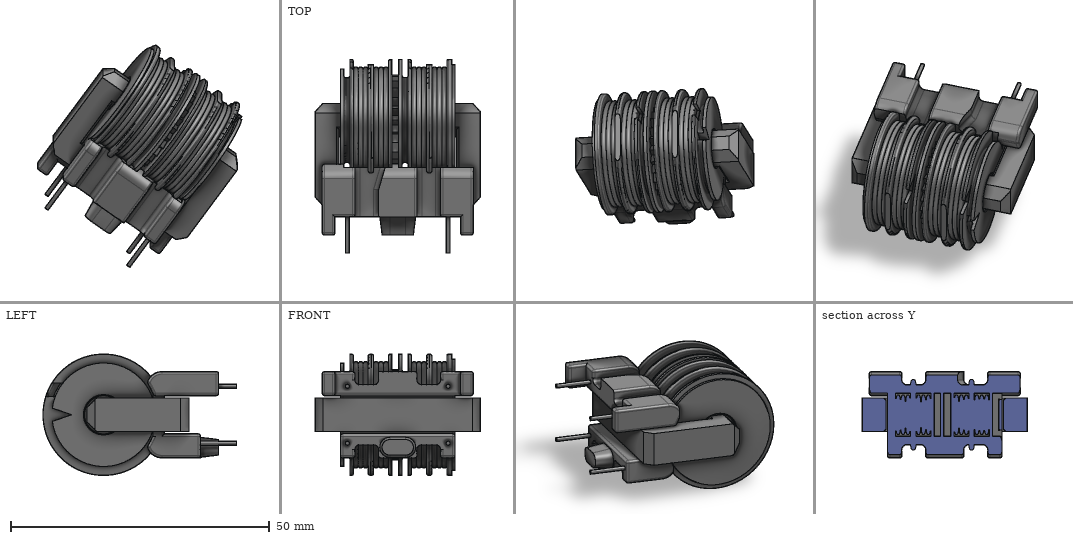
import cadquery as cq
import math

EPS = 0.05

TOTAL_LENGTH = 37.5
TOTAL_HEIGHT = 23.5

CORE_WIDTH = 32.0
CORE_HALF_HEIGHT = 3.25
CORE_FRONT_Y = -16.55
CORE_CORNER_X = 1.5
CORE_CORNER_Y = 1.6
LIMB_BEVEL = 1.9
WINDOW_HALF_WIDTH = 11.35
WINDOW_FLARE = 0.45

BOBBIN_HALF_LENGTH = 11.1
SECTION_PITCH = 11.3
FLANGE_RADIUS = TOTAL_HEIGHT / 2
LEFT_DISC_RADIUS = 10.0
RIGHT_DISC_RADIUS = 10.75
HUB_RADIUS = 8.25
BORE_RADIUS = 3.7
BORE_CHAMFER = 0.2
BORE_DEPTH = 0.68
END_DISC_THICKNESS = 0.68
RIM_FILLET = 0.38
MIDDLE_RIM_FILLET = 0.45
HUB_FILLET = 0.38

ENTRY_FLANGE_START = 1.85
ENTRY_FLANGE_END = 2.5
MIDDLE_FLANGE_START = 5.35
MIDDLE_FLANGE_END = 6.45
LAST_FLANGE_START = 9.3
LAST_FLANGE_END = 9.98
RIGHT_DISC_START = 10.28
MIDDLE_FLANGE_FLAT_Y = 10.75
WINDING_RADIUS = 10.3
TURNS_PER_CHAMBER = 3

V_NOTCH_HALF_HEIGHT = 1.3
V_NOTCH_TIP_Y = 6.22
WIRE_SLOT_BOTTOM = 3.5
WIRE_SLOT_TOP = 6.1

TOOTH_COUNT = 24
TOOTH_TIP_RADIUS = 8.75
TOOTH_ROOT_RADIUS = 7.12

BLOCK_INNER_Z = 3.68
BLOCK_OUTER_Z = 8.35
BLOCK_BACK_Y = -8.48
BLOCK_SHOULDER_Z = 6.22
BLOCK_HEEL_Y = -9.8
BLOCK_ARC_END_Y = -11.32
BLOCK_FRONT_Y = -18.75
BLOCK_TRIM_Y = -9.15
LEG_OUTER_X = 14.62
LEG_INNER_X = 12.15
LEG_FRONT_Y = -22.28
BLOCK_FILLET = 0.5
SLOT_OUTER_X = 8.3
SLOT_INNER_X = 3.7
SLOT_FLOOR_Z = 5.8
SLOT_FLOOR_FILLET = 0.95
SLOT_KINK_Y = -13.5
SLOT_BACK_Y = -7.5
SLOT_SKEW = 1.75

WEB_BACK_Y = -9.55
WEB_FRONT_Y = -11.78

PIN_DIAMETER = 0.8
PIN_X = 9.75
PIN_Z = 5.5
PIN_TIP_Y = FLANGE_RADIUS - TOTAL_LENGTH
STUB_WIDTH = 6.98
STUB_HEIGHT = 3.9
STUB_Z = -6.3
STUB_TAPER = 7.2


def box(x, y, z):
    """Axis-aligned box from (low, high) pairs."""
    size = (x[1] - x[0], y[1] - y[0], z[1] - z[0])
    return cq.Workplane("XY").box(*size, centered=False).translate((x[0], y[0], z[0]))


def disc(start, end, radius):
    """Disc about the X axis."""
    return cq.Workplane("YZ").workplane(offset=start).circle(radius).extrude(end - start)


def make_core():
    """Closed rectangular core with a flared window; its rear limb passes through the bobbin."""
    outline = box(
        (-CORE_WIDTH / 2, CORE_WIDTH / 2),
        (CORE_FRONT_Y, CORE_HALF_HEIGHT),
        (-CORE_HALF_HEIGHT, CORE_HALF_HEIGHT),
    )
    half = CORE_WIDTH / 2
    for sign in (-1, 1):
        for y, step in ((CORE_FRONT_Y, CORE_CORNER_Y), (CORE_HALF_HEIGHT, -CORE_CORNER_Y)):
            corner = (
                cq.Workplane("XY", origin=(0, 0, -CORE_HALF_HEIGHT))
                .moveTo(sign * half, y)
                .lineTo(sign * (half - CORE_CORNER_X), y)
                .lineTo(sign * half, y + step)
                .close()
                .extrude(2 * CORE_HALF_HEIGHT)
            )
            outline = outline.cut(corner)
    outline = outline.edges(">Y and |X").chamfer(LIMB_BEVEL)

    flat = CORE_HALF_HEIGHT - LIMB_BEVEL
    window_section = [
        (WEB_FRONT_Y, -CORE_HALF_HEIGHT),
        (-flat, -CORE_HALF_HEIGHT),
        (-CORE_HALF_HEIGHT, -flat),
        (-CORE_HALF_HEIGHT, flat),
        (-flat, CORE_HALF_HEIGHT),
        (WEB_FRONT_Y, CORE_HALF_HEIGHT),
    ]
    flared = WINDOW_HALF_WIDTH + WINDOW_FLARE
    window = (
        cq.Workplane("YZ").workplane(offset=-flared).polyline(window_section).close().extrude(2 * flared)
    )
    edge = CORE_HALF_HEIGHT - WINDOW_FLARE
    flare_section = [
        (flared, CORE_HALF_HEIGHT),
        (WINDOW_HALF_WIDTH, edge),
        (WINDOW_HALF_WIDTH, -edge),
        (flared, -CORE_HALF_HEIGHT),
        (-flared, -CORE_HALF_HEIGHT),
        (-WINDOW_HALF_WIDTH, -edge),
        (-WINDOW_HALF_WIDTH, edge),
        (-flared, CORE_HALF_HEIGHT),
    ]
    flare = cq.Workplane("XZ").polyline(flare_section).close().extrude(-CORE_FRONT_Y)
    return outline.cut(window.intersect(flare))


def make_winding(start, end):
    """Row of touching round turns filling one chamber."""
    wire_radius = (end - start) / TURNS_PER_CHAMBER / 2
    valley = WINDING_RADIUS - wire_radius
    profile = cq.Workplane("XY").moveTo(start, BORE_RADIUS).lineTo(start, valley)
    for turn in range(TURNS_PER_CHAMBER):
        crest = start + (2 * turn + 1) * wire_radius
        profile = profile.threePointArc((crest, WINDING_RADIUS), (crest + wire_radius, valley))
    return profile.lineTo(end, BORE_RADIUS).close().revolve(360, (0, 0, 0), (1, 0, 0))


def make_hub(start, end):
    """Grooved hub between two flanges, rounded at both sides."""
    corner = HUB_RADIUS + HUB_FILLET
    return (
        cq.Workplane("XY")
        .moveTo(start, 0)
        .lineTo(start, corner)
        .radiusArc((start + HUB_FILLET, HUB_RADIUS), -HUB_FILLET)
        .lineTo(end - HUB_FILLET, HUB_RADIUS)
        .radiusArc((end, corner), -HUB_FILLET)
        .lineTo(end, 0)
        .close()
        .revolve(360, (0, 0, 0), (1, 0, 0))
    )


def make_section(start):
    """One winding section: hub, three flanges and two chambers of turns."""
    entry_start = start + ENTRY_FLANGE_START
    entry_end = start + ENTRY_FLANGE_END
    middle_start = start + MIDDLE_FLANGE_START
    middle_end = start + MIDDLE_FLANGE_END
    last_start = start + LAST_FLANGE_START
    last_end = start + LAST_FLANGE_END

    entry = disc(entry_start, entry_end, FLANGE_RADIUS).faces(">X").edges().fillet(RIM_FILLET)
    wire_slot = box(
        (entry_start - EPS, entry_end + EPS),
        (0, FLANGE_RADIUS),
        (WIRE_SLOT_BOTTOM, WIRE_SLOT_TOP),
    )
    entry = entry.cut(wire_slot).union(disc(entry_start, entry_end, HUB_RADIUS))
    middle = disc(middle_start, middle_end, FLANGE_RADIUS).edges().fillet(MIDDLE_RIM_FILLET)
    middle = middle.cut(
        box(
            (middle_start - EPS, middle_end + EPS),
            (MIDDLE_FLANGE_FLAT_Y, FLANGE_RADIUS + EPS),
            (-FLANGE_RADIUS, FLANGE_RADIUS),
        )
    )
    last = disc(last_start, last_end, FLANGE_RADIUS).faces("<X").edges().fillet(RIM_FILLET)
    section = disc(start, last_end, BORE_RADIUS + BORE_CHAMFER)
    section = section.union(make_hub(start + END_DISC_THICKNESS, entry_start))
    section = section.union(entry).union(middle).union(last)
    section = section.union(make_winding(entry_end, middle_start))
    return section.union(make_winding(middle_end, last_start))


def make_toothed_ring(start, end):
    """Ring of pointed teeth about the X axis."""
    points = []
    for index in range(2 * TOOTH_COUNT):
        radius = TOOTH_ROOT_RADIUS if index % 2 else TOOTH_TIP_RADIUS
        angle = math.pi * index / TOOTH_COUNT
        points.append((radius * math.cos(angle), radius * math.sin(angle)))
    return cq.Workplane("YZ").workplane(offset=start).polyline(points).close().extrude(end - start)


def make_bobbin():
    first = -BOBBIN_HALF_LENGTH
    second = first + SECTION_PITCH
    left_disc = disc(first, first + END_DISC_THICKNESS, LEFT_DISC_RADIUS)
    v_notch = (
        cq.Workplane("YZ")
        .workplane(offset=first)
        .moveTo(V_NOTCH_TIP_Y, 0)
        .lineTo(LEFT_DISC_RADIUS, V_NOTCH_HALF_HEIGHT)
        .lineTo(LEFT_DISC_RADIUS, -V_NOTCH_HALF_HEIGHT)
        .close()
        .extrude(ENTRY_FLANGE_START)
    )

    bobbin = make_section(first).union(left_disc).cut(v_notch)
    bobbin = bobbin.union(make_section(second))
    bobbin = bobbin.union(disc(second, second + END_DISC_THICKNESS, FLANGE_RADIUS))
    bobbin = bobbin.union(make_toothed_ring(first + LAST_FLANGE_END, second))
    right_end = second + RIGHT_DISC_START
    bobbin = bobbin.union(disc(second + LAST_FLANGE_END, right_end, FLANGE_RADIUS))
    return bobbin.union(disc(right_end, BOBBIN_HALF_LENGTH, RIGHT_DISC_RADIUS))


def make_slot(side, skew):
    """Wire channel across a block; skew moves the back of its inner wall towards the middle."""
    front = BLOCK_FRONT_Y - EPS
    plan = [
        (side * SLOT_OUTER_X, front),
        (side * SLOT_INNER_X, front),
        (side * SLOT_INNER_X, SLOT_KINK_Y),
        (side * (SLOT_INNER_X - skew), SLOT_BACK_Y),
        (side * SLOT_OUTER_X, SLOT_BACK_Y),
    ]
    slot = cq.Workplane("XY", origin=(0, 0, SLOT_FLOOR_Z)).polyline(plan).close()
    slot = slot.extrude(BLOCK_OUTER_Z - SLOT_FLOOR_Z + EPS)
    return slot.faces("<Z").edges("not(|X)").fillet(SLOT_FLOOR_FILLET)


def block_body(left, right, front_y):
    """Side profile of a terminal block run along X, above the core."""
    return (
        cq.Workplane("YZ")
        .workplane(offset=left)
        .moveTo(front_y, BLOCK_INNER_Z)
        .lineTo(front_y, BLOCK_OUTER_Z)
        .lineTo(BLOCK_ARC_END_Y, BLOCK_OUTER_Z)
        .tangentArcPoint((BLOCK_BACK_Y, BLOCK_SHOULDER_Z), relative=False)
        .lineTo(BLOCK_HEEL_Y, BLOCK_INNER_Z)
        .close()
        .extrude(right - left)
    )


def make_block_middle(left_skew):
    """Part of a block between its cheeks, with both wire channels."""
    reach = SLOT_OUTER_X + BLOCK_FILLET
    middle = block_body(-reach, reach, BLOCK_FRONT_Y)
    middle = middle.edges("<Y and <Z").fillet(BLOCK_FILLET)
    middle = middle.cut(make_slot(-1, left_skew)).cut(make_slot(1, 0))
    for side in (-1, 1):
        outside = sorted((side * SLOT_OUTER_X, side * reach))
        above_floor = (SLOT_FLOOR_Z + SLOT_FLOOR_FILLET, BLOCK_OUTER_Z)
        middle = middle.cut(box(outside, (BLOCK_FRONT_Y, 0), above_floor))

    def is_rounded(edge):
        """Top edges of the straight inner walls, including their curved backs."""
        centre = edge.Center()
        extent = edge.BoundingBox()
        on_wall = abs(abs(centre.x) - SLOT_INNER_X) < EPS and extent.xlen < EPS
        on_top = centre.z > SLOT_FLOOR_Z + SLOT_FLOOR_FILLET and extent.ylen > SLOT_FLOOR_FILLET
        return on_wall and on_top and (left_skew == 0 or centre.x > 0)

    return middle.edges().filter(is_rounded).fillet(BLOCK_FILLET)


def make_right_cheek(outer_x, front_y):
    """Rounded end of a block; a front beyond the block front adds a leg at the outside."""
    cheek = block_body(SLOT_OUTER_X, outer_x, front_y)
    if front_y < BLOCK_FRONT_Y:
        inside_leg = box(
            (SLOT_OUTER_X, LEG_INNER_X), (front_y, BLOCK_FRONT_Y), (BLOCK_INNER_Z, BLOCK_OUTER_Z)
        )
        cheek = cheek.cut(inside_leg)
    middle_z = (BLOCK_INNER_Z + BLOCK_OUTER_Z) / 2
    inner_corner = cq.Vector(LEG_INNER_X, BLOCK_FRONT_Y, middle_z)
    outer_edges = cheek.edges().filter(lambda edge: (edge.Center() - inner_corner).Length > EPS)
    return outer_edges.fillet(BLOCK_FILLET)


def make_block(outer_x, front_y, left_skew):
    """Terminal block above the core, its back trimmed at the winding sections."""
    cheek = make_right_cheek(outer_x, front_y)
    block = make_block_middle(left_skew).union(cheek).union(cheek.mirror("YZ"))
    first = -BOBBIN_HALF_LENGTH
    second = first + SECTION_PITCH
    trimmed_spans = (
        (first + END_DISC_THICKNESS, first + LAST_FLANGE_END),
        (second, outer_x),
    )
    for span in trimmed_spans:
        block = block.cut(box(span, (BLOCK_TRIM_Y, 0), (BLOCK_INNER_Z, BLOCK_OUTER_Z)))
    return block


def make_bore_mouth():
    """Shallow chamfered clearance around the core limb where the bore opens at the left."""
    mouth = disc(-BOBBIN_HALF_LENGTH, BORE_DEPTH - BOBBIN_HALF_LENGTH, BORE_RADIUS)
    flare = cq.Solid.makeCone(
        BORE_RADIUS + BORE_CHAMFER,
        BORE_RADIUS,
        BORE_CHAMFER,
        cq.Vector(-BOBBIN_HALF_LENGTH, 0, 0),
        cq.Vector(1, 0, 0),
    )
    return mouth.union(cq.Workplane(flare))


def make_web():
    web_half_height = BLOCK_INNER_Z + BLOCK_FILLET
    web = box(
        (-BOBBIN_HALF_LENGTH, BOBBIN_HALF_LENGTH),
        (WEB_FRONT_Y, WEB_BACK_Y),
        (-web_half_height, web_half_height),
    )
    return web.edges("<Y and |Z").fillet(BLOCK_FILLET)


def make_pins():
    centres = [(x, z) for x in (-PIN_X, PIN_X) for z in (-PIN_Z, PIN_Z)]
    return (
        cq.Workplane("XZ", origin=(0, BLOCK_FRONT_Y, 0))
        .pushPoints(centres)
        .circle(PIN_DIAMETER / 2)
        .extrude(BLOCK_FRONT_Y - PIN_TIP_Y)
    )


def make_stub():
    return (
        cq.Workplane("XZ", origin=(0, BLOCK_FRONT_Y, STUB_Z))
        .slot2D(STUB_WIDTH, STUB_HEIGHT)
        .extrude(BLOCK_FRONT_Y - LEG_FRONT_Y, taper=STUB_TAPER)
    )


upper_block = make_block(LEG_OUTER_X, LEG_FRONT_Y, SLOT_SKEW)
lower_block = make_block(BOBBIN_HALF_LENGTH, BLOCK_FRONT_Y, 0).mirror("XY")
bobbin = make_bobbin().union(upper_block).union(lower_block).union(make_web())
bore_mouth = make_bore_mouth()
bobbin = bobbin.cut(bore_mouth).cut(bore_mouth.mirror("YZ"))
result = bobbin.union(make_core()).union(make_pins()).union(make_stub())